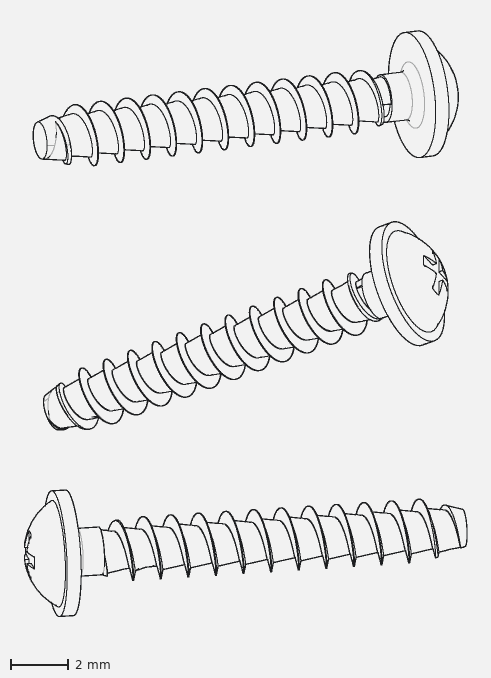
import cadquery as cq
import math


total_length = 15.56
head_height = 1.55
tip_z = head_height - total_length

flange_radius = 4.4 / 2
flange_thickness = 0.5
dome_radius = 1.87
slot_width = 0.44
slot_depth = 0.15

shank_radius = 0.84
shank_length = 1.09
neck_fillet = 0.33

pitch = 0.98
thread_radius = 1.1
crest_width = 0.03
ridge_width = 0.2
core_radius = 0.64
root_radius_low = 0.67
root_radius_high = 0.8
turn_gap = 0.008
burial_depth = 0.05
helix_start_z = -14.25
helix_turns = 14
lead_in_length = 0.84
tip_taper_length = 1.45
tip_radius = 0.65
crest_clearance = 0.15


def revolve(outline):
    """Turn a closed half outline in the XZ plane around the screw axis."""
    return outline.revolve(360, (0, 0), (0, 1))


def make_head():
    """Flange and spherical dome; the edges of the cross slot are the highest points."""
    slot_corner = slot_width / math.sqrt(2)
    dome_rise = head_height - flange_thickness
    center_rise = (dome_rise**2 + slot_corner**2 - dome_radius**2) / (2 * dome_rise)
    sphere_radius = math.hypot(dome_radius, center_rise)
    center_z = flange_thickness + center_rise
    middle_angle = (math.atan2(-center_rise, dome_radius) + math.pi / 2) / 2
    arc_middle = (
        sphere_radius * math.cos(middle_angle),
        center_z + sphere_radius * math.sin(middle_angle),
    )
    outline = (
        cq.Workplane("XZ")
        .lineTo(flange_radius, 0)
        .lineTo(flange_radius, flange_thickness)
        .lineTo(dome_radius, flange_thickness)
        .threePointArc(arc_middle, (0, center_z + sphere_radius))
        .close()
    )
    head = revolve(outline)
    cutter_height = 2 * slot_depth
    slot = cq.Workplane("XY").box(
        2 * dome_radius, slot_width, cutter_height, centered=(True, True, False)
    )
    slot = slot.translate((0, 0, head_height - slot_depth))
    return head.cut(slot).cut(slot.rotate((0, 0, 0), (0, 0, 1), 90))


def make_shaft():
    """Shank with its neck fillet, and the plain core inside the thread."""
    fillet_middle = neck_fillet * (1 - math.sqrt(0.5))
    outline = (
        cq.Workplane("XZ")
        .lineTo(shank_radius + neck_fillet, 0)
        .threePointArc(
            (shank_radius + fillet_middle, -fillet_middle),
            (shank_radius, -neck_fillet),
        )
        .lineTo(shank_radius, -shank_length)
        .lineTo(core_radius, -shank_length)
        .lineTo(core_radius, tip_z)
        .lineTo(0, tip_z)
        .close()
    )
    return revolve(outline)


def make_thread():
    """Right-hand ridge with a sloping root, trimmed at both ends by cones."""
    buried_radius = core_radius - burial_depth
    half_ridge = ridge_width / 2
    half_crest = crest_width / 2
    root_end = half_ridge - pitch + turn_gap
    section = [
        (buried_radius, half_ridge),
        (root_radius_low, half_ridge),
        (thread_radius, half_crest),
        (thread_radius, -half_crest),
        (root_radius_high, -half_ridge),
        (root_radius_low, root_end),
        (buried_radius, root_end),
    ]
    helix = cq.Wire.makeHelix(pitch, helix_turns * pitch, core_radius)
    profile = cq.Workplane("XZ").polyline(section).close()
    turns = profile.sweep(cq.Workplane(helix), isFrenet=True)

    clear_radius = thread_radius + crest_clearance
    slope_in = (thread_radius - shank_radius) / lead_in_length
    slope_out = (thread_radius - tip_radius) / tip_taper_length
    envelope_outline = (
        cq.Workplane("XZ")
        .moveTo(0, -shank_length)
        .lineTo(shank_radius, -shank_length)
        .lineTo(clear_radius, -shank_length - (clear_radius - shank_radius) / slope_in)
        .lineTo(clear_radius, tip_z + (clear_radius - tip_radius) / slope_out)
        .lineTo(tip_radius, tip_z)
        .lineTo(0, tip_z)
        .close()
    )
    turns = turns.translate((0, 0, helix_start_z))
    return turns.intersect(revolve(envelope_outline))


screw = make_head().union(make_shaft()).union(make_thread())
result = screw.rotate((0, 0, 0), (1, 0, 0), -90)